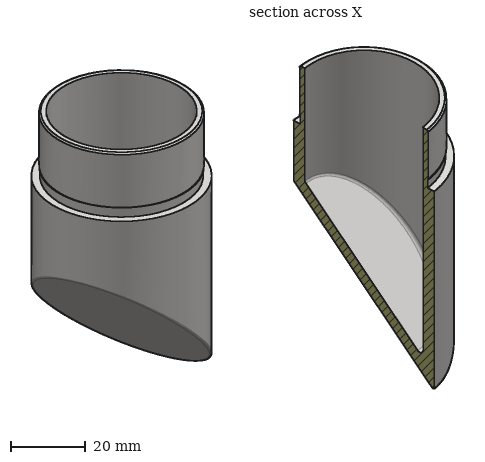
import cadquery as cq
import math

body_diameter = 48.3
wall_thickness = 4.0
neck_diameter = 44.2
neck_height = 20.0
neck_rim_chamfer = 0.5
relief_diameter = 43.8
relief_height = 3.0
overall_height = 88.38
mitre_angle = 45.0
mitre_edge_radius = 0.5
floor_edge_radius = 1.0

body_radius = body_diameter / 2
bore_diameter = body_diameter - 2 * wall_thickness
mitre_slope = math.tan(math.radians(mitre_angle))

tip_half_angle = math.radians((90 - mitre_angle) / 2)
tip_rounding_loss = mitre_edge_radius * (1 / math.tan(tip_half_angle) - 1)
sharp_tip_z = neck_height - overall_height - tip_rounding_loss
mitre_center_z = sharp_tip_z + body_radius * mitre_slope

floor_center_z = mitre_center_z + wall_thickness / math.cos(math.radians(mitre_angle))


def mitred_cylinder(diameter, center_z, top_z, edge_radius):
    """Vertical cylinder whose sloping lower end is lowest at +Y and has a rounded edge."""
    radius = diameter / 2
    lowest_z = center_z - radius * mitre_slope
    cylinder = cq.Workplane("XY").workplane(offset=lowest_z).circle(radius).extrude(top_z - lowest_z)
    waste = (
        cq.Workplane("YZ")
        .moveTo(radius, lowest_z)
        .lineTo(-radius, lowest_z + diameter * mitre_slope)
        .lineTo(-radius, lowest_z)
        .close()
        .extrude(radius, both=True)
    )
    return cylinder.cut(waste).faces("<Z").edges().fillet(edge_radius)


def make_neck():
    """Spigot above the shoulder, with a shallow relief at its root and a chamfered rim."""
    relief = cq.Workplane("XY").circle(relief_diameter / 2).extrude(relief_height)
    spigot = (
        cq.Workplane("XY")
        .workplane(offset=relief_height)
        .circle(neck_diameter / 2)
        .extrude(neck_height - relief_height)
        .faces(">Z")
        .edges()
        .chamfer(neck_rim_chamfer)
    )
    return relief.union(spigot)


body = mitred_cylinder(body_diameter, mitre_center_z, 0, mitre_edge_radius)
bore = mitred_cylinder(bore_diameter, floor_center_z, neck_height, floor_edge_radius)

result = body.union(make_neck()).cut(bore)